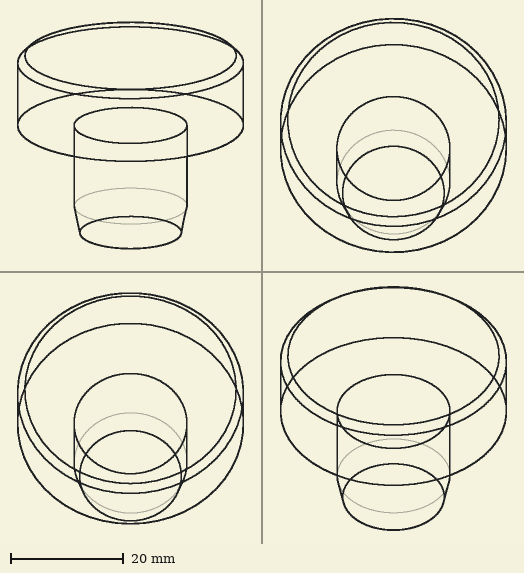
import cadquery as cq

head_diameter = 40.0
head_height = 13.0
head_chamfer = 1.3

shank_diameter = 20.0
shank_length = 20.0
lead_in_length = 5.0
tip_diameter = 18.0

head_radius = head_diameter / 2
shank_radius = shank_diameter / 2
tip_radius = tip_diameter / 2

half_profile = (
    cq.Workplane("XZ")
    .moveTo(0, -shank_length)
    .lineTo(tip_radius, -shank_length)
    .lineTo(shank_radius, -shank_length + lead_in_length)
    .lineTo(shank_radius, 0)
    .lineTo(head_radius, 0)
    .lineTo(head_radius, head_height - head_chamfer)
    .lineTo(head_radius - head_chamfer, head_height)
    .lineTo(0, head_height)
    .close()
)

result = half_profile.revolve(360, (0, 0, 0), (0, 1, 0))